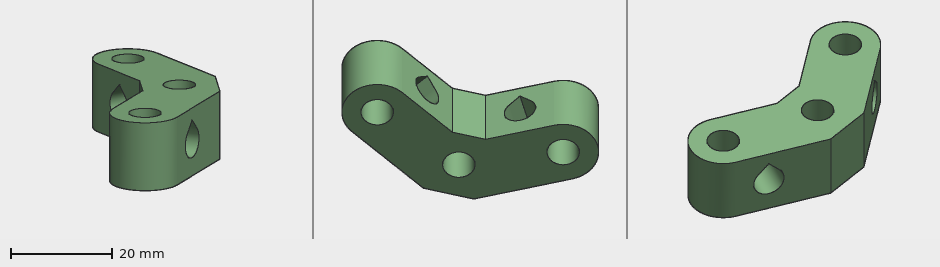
import cadquery as cq
import math

width = 14.0
height = 14.0
arm_length = 22.0
bend = 60
hole_diameter = 6.4
inner_straight = 14.0
outer_straight = 20.05
corner_hole_offset = 2.5
cross_hole_offset = 7.0

radius = width / 2
hole_radius = hole_diameter / 2
lower_end = cq.Vector(0, 0, 0)
corner = cq.Vector(0, arm_length, 0)


def direction(angle):
    """Unit vector in the XY plane, angle in degrees from +X."""
    return cq.Vector(math.cos(math.radians(angle)), math.sin(math.radians(angle)), 0)


lower_axis = direction(90)
lower_inward = direction(180)
upper_axis = direction(90 + bend)
upper_inward = direction(180 + bend)
upper_end = corner + upper_axis * arm_length
corner_hole = corner + direction(180 + bend / 2) * corner_hole_offset


def make_body():
    """Bent bar with rounded ends and a bevel on both sides of the bend."""
    lower_inner = lower_inward * radius
    upper_inner = upper_inward * radius
    return (
        cq.Workplane("XY")
        .moveTo(*(lower_end - lower_inner).toTuple()[:2])
        .lineTo(*(lower_end - lower_inner + lower_axis * outer_straight).toTuple()[:2])
        .lineTo(*(upper_end - upper_inner - upper_axis * outer_straight).toTuple()[:2])
        .lineTo(*(upper_end - upper_inner).toTuple()[:2])
        .threePointArc(
            (upper_end + upper_axis * radius).toTuple()[:2],
            (upper_end + upper_inner).toTuple()[:2],
        )
        .lineTo(*(upper_end + upper_inner - upper_axis * inner_straight).toTuple()[:2])
        .lineTo(*(lower_end + lower_inner + lower_axis * inner_straight).toTuple()[:2])
        .lineTo(*(lower_end + lower_inner).toTuple()[:2])
        .threePointArc(
            (lower_end - lower_axis * radius).toTuple()[:2],
            (lower_end - lower_inner).toTuple()[:2],
        )
        .close()
        .extrude(height)
    )


def make_cross_hole(center, axis, normal):
    """Teardrop cutter through an arm, with a 45 degree peak pointing up."""
    origin = center + cq.Vector(0, 0, height / 2)
    tangent = hole_radius / math.sqrt(2)
    peak = hole_radius * math.sqrt(2)
    return (
        cq.Workplane(cq.Plane(origin=origin, xDir=axis, normal=normal))
        .moveTo(-tangent, tangent)
        .threePointArc((0, -hole_radius), (tangent, tangent))
        .lineTo(0, peak)
        .close()
        .extrude(width, both=True)
    )


result = make_body()

for center in (lower_end, corner_hole, upper_end):
    cutter = cq.Workplane("XY").center(center.x, center.y).circle(hole_radius).extrude(height)
    result = result.cut(cutter)

lower_cross = lower_end + lower_axis * cross_hole_offset
upper_cross = upper_end - upper_axis * cross_hole_offset
result = result.cut(make_cross_hole(lower_cross, lower_axis, lower_inward * -1))
result = result.cut(make_cross_hole(upper_cross, upper_axis, upper_inward * -1))